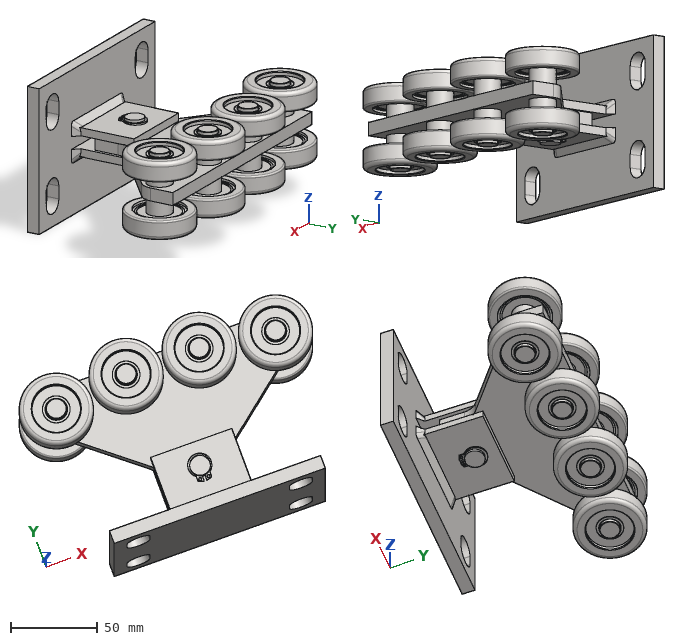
import cadquery as cq
import math

PLATE_WIDTH = 130.0
PLATE_HEIGHT = 90.0
PLATE_THICKNESS = 8.0
SLOT_WIDTH = 14.0
SLOT_LENGTH = 22.0
SLOT_X = 50.0
SLOT_Z = 26.0

CHEEK_WIDTH = 50.0
CHEEK_END_Y = 48.0
CHEEK_THICKNESS = 5.0

WELD_LEG = 4.0
WELD_CORNER_RADIUS = 2.5

ARM_THICKNESS = 8.0
ARM_TAIL_Y = 20.3
ARM_TOP_Y = 106.0
ARM_TAIL_HALF_WIDTH = 22.8
ARM_NECK_Y = 41.0
ARM_NECK_RADIUS = 11.0
ARM_CORNER_RADIUS = 10.5

HINGE_Y = 33.3
HINGE_DIAMETER = 12.0
HINGE_LENGTH = 24.0
RING_RADIUS = 7.0
RING_OFFSET = 0.5
RING_THICKNESS = 1.0
RING_CLEARANCE = 0.3
GROOVE_DIAMETER = 11.0
LUG_RADIUS = 9.25
LUG_HALF_WIDTH = 4.2
LUG_GAP = 1.6
LUG_HOLE_DIAMETER = 1.7
LUG_HOLE_X = 2.6
LUG_HOLE_DROP = 7.4

WHEEL_DIAMETER = 43.0
WHEEL_INNER_Z = 12.0
WHEEL_WIDTH = 12.0
WHEEL_OUTER_ROUND = 2.5
WHEEL_INNER_ROUND = 1.0
INNER_WHEEL_X = 22.5
INNER_WHEEL_Y = 96.3
OUTER_WHEEL_X = 67.5
OUTER_WHEEL_Y = 90.8

OUTER_RECESS_DIAMETER = 28.0
OUTER_RECESS_DEPTH = 2.5
RECESS_CHAMFER = 0.5

INNER_STEP_DIAMETER = 32.0
INNER_STEP_DEPTH = 1.5
INNER_LAND_DIAMETER = 29.0
INNER_LAND_DEPTH = 1.75
INNER_RECESS_DIAMETER = 26.6
INNER_RECESS_DEPTH = 2.0

AXLE_DIAMETER = 12.0
AXLE_CHAMFER = 0.3
SPACER_DIAMETER = 16.0
BEARING_RING_HEIGHT = 0.5
BORE_CHAMFER = 0.5

HALF_ARM = ARM_THICKNESS / 2
FORK_HALF_HEIGHT = HALF_ARM + CHEEK_THICKNESS
WHEEL_OUTER_Z = WHEEL_INNER_Z + WHEEL_WIDTH


def disc(diameter, z_low, z_high):
    """Cylinder along Z between two heights."""
    return cq.Workplane("XY").workplane(offset=z_low).circle(diameter / 2).extrude(z_high - z_low)


def mounting_plate():
    plate = cq.Workplane("XY").box(
        PLATE_WIDTH, PLATE_THICKNESS, PLATE_HEIGHT, centered=(True, False, True)
    )
    slots = (
        cq.Workplane("XZ")
        .rect(2 * SLOT_X, 2 * SLOT_Z, forConstruction=True)
        .vertices()
        .slot2D(SLOT_LENGTH, SLOT_WIDTH, 90)
        .extrude(-PLATE_THICKNESS)
    )
    return plate.cut(slots)


def rounded_rectangle(half_x, half_z, radius):
    return cq.Sketch().rect(2 * half_x, 2 * half_z).vertices().fillet(radius)


def fork():
    """Two cheeks and the tapered weld bead, with the arm gap left open."""
    half_width = CHEEK_WIDTH / 2
    cheeks = (
        cq.Workplane("XY")
        .box(CHEEK_WIDTH, CHEEK_END_Y - PLATE_THICKNESS, 2 * FORK_HALF_HEIGHT, centered=(True, False, True))
        .translate((0, PLATE_THICKNESS, 0))
    )
    weld_foot = rounded_rectangle(
        half_width + WELD_LEG, FORK_HALF_HEIGHT + WELD_LEG, WELD_CORNER_RADIUS
    )
    weld_top = rounded_rectangle(half_width, FORK_HALF_HEIGHT, WELD_CORNER_RADIUS)
    weld = (
        cq.Workplane("XZ", origin=(0, PLATE_THICKNESS, 0))
        .placeSketch(weld_foot, weld_top.moved(cq.Location(cq.Vector(0, 0, -WELD_LEG))))
        .loft(ruled=True)
    )
    gap_width = CHEEK_WIDTH + 2 * WELD_LEG
    gap = (
        cq.Workplane("XY")
        .box(gap_width, CHEEK_END_Y, ARM_THICKNESS, centered=(True, False, True))
        .translate((0, PLATE_THICKNESS, 0))
    )
    return cheeks.union(weld).cut(gap)


def arm():
    """Flat plate whose slanted sides run tangent to round corners about the outer wheels."""
    dx = OUTER_WHEEL_X - ARM_TAIL_HALF_WIDTH
    dy = OUTER_WHEEL_Y - ARM_NECK_Y
    slope = math.atan2(dy, dx) - math.asin(ARM_CORNER_RADIUS / math.hypot(dx, dy))

    def corner_point(angle):
        return (
            OUTER_WHEEL_X + ARM_CORNER_RADIUS * math.cos(angle),
            OUTER_WHEEL_Y + ARM_CORNER_RADIUS * math.sin(angle),
        )

    slant_end_angle = slope - math.pi / 2
    slant_end = corner_point(slant_end_angle)
    corner_middle = corner_point(slant_end_angle / 2)
    corner_end = corner_point(0)

    half = (
        cq.Workplane("XY")
        .workplane(offset=-HALF_ARM)
        .moveTo(0, ARM_TAIL_Y)
        .lineTo(ARM_TAIL_HALF_WIDTH, ARM_TAIL_Y)
        .lineTo(ARM_TAIL_HALF_WIDTH, ARM_NECK_Y)
        .lineTo(*slant_end)
        .threePointArc(corner_middle, corner_end)
        .lineTo(corner_end[0], ARM_TOP_Y)
        .lineTo(0, ARM_TOP_Y)
        .close()
        .extrude(ARM_THICKNESS)
    )
    neck = cq.selectors.NearestToPointSelector((ARM_TAIL_HALF_WIDTH, ARM_NECK_Y, 0))
    half = half.edges("|Z").edges(neck).fillet(ARM_NECK_RADIUS)
    return half.union(half.mirror("YZ"))


def lug_slab(width):
    """Block below the ring's axis that reaches out to the tips of the lugs."""
    return (
        cq.Workplane("XY")
        .box(width, LUG_RADIUS, RING_THICKNESS, centered=(True, False, False))
        .translate((0, -LUG_RADIUS, 0))
    )


def retaining_ring():
    """Eccentric ring with two pierced lugs, resting on Z = 0 about the Z axis."""
    ring = disc(2 * RING_RADIUS, 0, RING_THICKNESS).translate((0, RING_OFFSET, 0))
    lugs = disc(2 * LUG_RADIUS, 0, RING_THICKNESS).intersect(lug_slab(2 * LUG_HALF_WIDTH))
    ring = ring.union(lugs).cut(lug_slab(LUG_GAP))
    for side in (-1, 1):
        hole = disc(LUG_HOLE_DIAMETER, 0, RING_THICKNESS)
        ring = ring.cut(hole.translate((side * LUG_HOLE_X, -LUG_HOLE_DROP, 0)))
    groove_core = disc(GROOVE_DIAMETER, 0, RING_THICKNESS)
    return ring.union(groove_core)


def hinge():
    """Pin through the fork, with a ring seated in a groove just clear of each cheek."""
    ring_low = FORK_HALF_HEIGHT + RING_CLEARANCE
    ring_high = ring_low + RING_THICKNESS
    ring = retaining_ring().translate((0, 0, ring_low))
    shank = disc(HINGE_DIAMETER, 0, ring_low)
    tip = disc(HINGE_DIAMETER, ring_high, HINGE_LENGTH / 2)
    half = shank.union(ring).union(tip)
    return half.union(half.mirror("XY")).translate((0, HINGE_Y, 0))


def wheel():
    """Upper wheel on the Z axis, together with its spacer and axle."""
    body = disc(WHEEL_DIAMETER, WHEEL_INNER_Z, WHEEL_OUTER_Z)
    body = body.faces(">Z").edges().fillet(WHEEL_OUTER_ROUND)
    body = body.faces("<Z").edges().fillet(WHEEL_INNER_ROUND)

    outer_floor = WHEEL_OUTER_Z - OUTER_RECESS_DEPTH
    body = body.cut(disc(OUTER_RECESS_DIAMETER, outer_floor, WHEEL_OUTER_Z))
    body = body.faces(">Z").edges(cq.selectors.RadiusNthSelector(0)).chamfer(RECESS_CHAMFER)

    inner_steps = (
        (INNER_STEP_DIAMETER, INNER_STEP_DEPTH),
        (INNER_LAND_DIAMETER, INNER_LAND_DEPTH),
        (INNER_RECESS_DIAMETER, INNER_RECESS_DEPTH),
    )
    for diameter, depth in inner_steps:
        body = body.cut(disc(diameter, WHEEL_INNER_Z, WHEEL_INNER_Z + depth))

    bearing_ring_top = outer_floor + BEARING_RING_HEIGHT
    bearing_ring = disc(SPACER_DIAMETER, outer_floor, bearing_ring_top)
    bore_mouth = cq.Workplane(
        cq.Solid.makeCone(
            AXLE_DIAMETER / 2,
            AXLE_DIAMETER / 2 + BORE_CHAMFER,
            BORE_CHAMFER,
            cq.Vector(0, 0, bearing_ring_top - BORE_CHAMFER),
        )
    )
    spacer = disc(SPACER_DIAMETER, HALF_ARM, WHEEL_INNER_Z + INNER_RECESS_DEPTH)
    axle = disc(AXLE_DIAMETER, HALF_ARM, WHEEL_OUTER_Z).faces(">Z").chamfer(AXLE_CHAMFER)
    return body.union(bearing_ring).cut(bore_mouth).union(spacer).union(axle)


def wheels():
    upper = wheel()
    pair = upper.union(upper.mirror("XY"))
    placed = []
    for x, y in ((INNER_WHEEL_X, INNER_WHEEL_Y), (OUTER_WHEEL_X, OUTER_WHEEL_Y)):
        for side in (-1, 1):
            placed.append(pair.translate((side * x, y, 0)))
    return placed


result = mounting_plate().union(fork()).union(arm()).union(hinge())
for wheel_pair in wheels():
    result = result.union(wheel_pair)